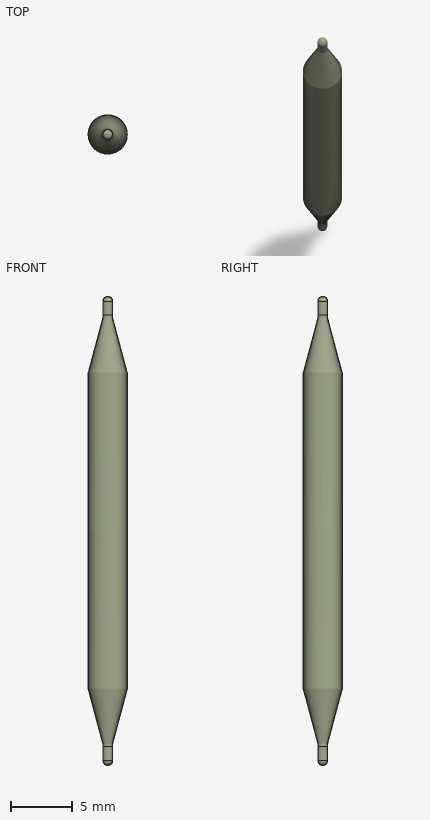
import cadquery as cq
import math

INCH = 25.4
overall_length = 1.5 * INCH
shank_radius = INCH / 8 / 2
cutter_radius = INCH / 32 / 2
neck_radius = cutter_radius
cutting_length = 1.52
neck_length = 0.25
taper_angle = 15.0

tip_z = overall_length / 2
ball_base_z = tip_z - cutter_radius
neck_top_z = tip_z - cutting_length
cone_top_z = neck_top_z - neck_length
cone_length = (shank_radius - neck_radius) / math.tan(math.radians(taper_angle))
cone_base_z = cone_top_z - cone_length


def make_shank_half():
    """Upper half of the shank, with its cone and straight neck."""
    return (
        cq.Workplane("XZ")
        .moveTo(0, 0)
        .lineTo(shank_radius, 0)
        .lineTo(shank_radius, cone_base_z)
        .lineTo(neck_radius, cone_top_z)
        .lineTo(neck_radius, neck_top_z)
        .lineTo(0, neck_top_z)
        .close()
        .revolve(360, (0, 0), (0, 1))
    )


def make_shank():
    """Full shank: the upper half joined to its mirror image."""
    upper_half = make_shank_half()
    return upper_half.union(upper_half.mirror("XY"))


def make_flute_section():
    """Plain cylinder for the fluted length of the upper cutter."""
    return (
        cq.Workplane("XY", origin=(0, 0, neck_top_z))
        .circle(cutter_radius)
        .extrude(ball_base_z - neck_top_z)
    )


def make_ball_nose():
    """Hemisphere that closes the upper cutter."""
    arc_offset = cutter_radius * math.sqrt(0.5)
    return (
        cq.Workplane("XZ")
        .moveTo(0, ball_base_z)
        .lineTo(cutter_radius, ball_base_z)
        .threePointArc((arc_offset, ball_base_z + arc_offset), (0, tip_z))
        .close()
        .revolve(360, (0, ball_base_z), (0, tip_z))
    )


shank = make_shank()
bodies = [shank.val()]
for make_end_body in (make_flute_section, make_ball_nose):
    upper_body = make_end_body()
    lower_body = upper_body.mirror("XY")
    bodies += [upper_body.val(), lower_body.val()]

result = cq.Compound.makeCompound(bodies)